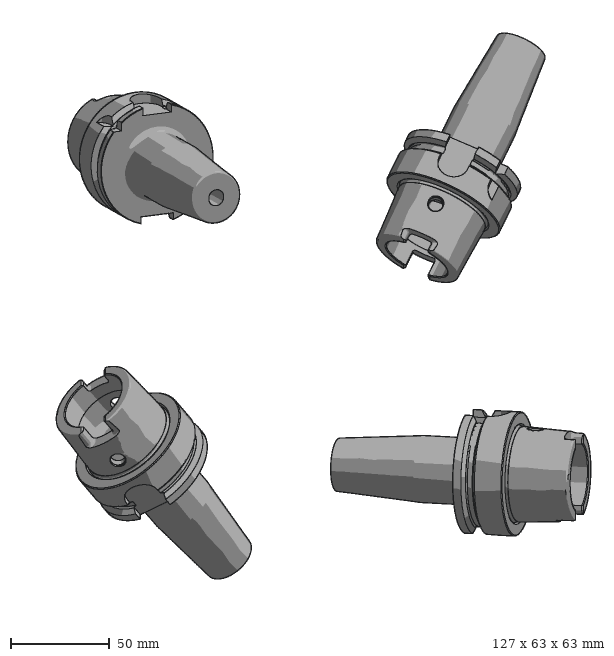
import cadquery as cq
import math

overall_length = 127.0

mouth_fillet = 1.0
taper_ratio = 10.0
taper_gauge_radius = 24.0
taper_gauge_x = 25.7
taper_end_x = 30.0
relief_radius = 23.9
relief_start_x = 30.7
relief_step_length = 0.3
face_recess_fillet = 0.9
face_recess_rim_radius = 25.5

flange_radius = 31.5
flange_start_x = 32.0
flange_end_x = 57.9
flange_front_chamfer = 0.5
flange_back_chamfer = 0.3
groove_radius = 27.5
groove_center_x = 49.9
groove_floor_width = 3.8
groove_fillet = 0.6
groove_flare_length = 1.7
groove_half_angle = 30.0

neck_radius = 17.0
neck_fillet = 3.0
neck_end_x = 82.3
nose_taper_angle = 4.5
nose_fillet = 1.0

bore_radius = 17.0
bore_mouth_chamfer = 0.5
bore_length = 12.7
recess_diameter = 40.0
recess_floor_fillet = 4.0
recess_end_x = 29.7
tube_bore_diameter = 17.0
tube_bore_depth = 12.7
through_hole_diameter = 8.4

cross_hole_diameter = 7.5
cross_hole_rim_diameter = 8.6
cross_hole_rim_depth = 0.8
cross_hole_x = 23.0

drive_slot_width = 12.5
drive_slot_flare_radius = 2.5
drive_slot_flare_top = 20.8
drive_slot_corner_fillet = 1.5
drive_slot_lead_in = 1.1
drive_slot_lead_in_depth = 0.5
shallow_slot_depth = 5.8
deep_slot_depth = 10.0

key_slot_floor_height = 26.5
key_slot_start_x = 36.7
upper_key_slot_width = 15.9
lower_key_slot_width = 18.0

notch_offset = 20.0
notch_end_radius = 7.0
notch_end_center_x = 44.6

clearance = 6.4

arc_middle = math.sqrt(0.5)


def taper_radius(x):
    return taper_gauge_radius + (x - taper_gauge_x) / taper_ratio / 2


def turned_body():
    groove_floor_start = groove_center_x - groove_floor_width / 2
    groove_floor_end = groove_center_x + groove_floor_width / 2
    groove_flare_radius = flange_radius - groove_flare_length / math.tan(math.radians(groove_half_angle))
    groove_fillet_top = groove_radius + groove_fillet
    groove_fillet_reach = groove_fillet * (1 - arc_middle)
    recess_reach = face_recess_fillet * arc_middle
    nose_length = overall_length - neck_end_x
    nose_radius = neck_radius - nose_length * math.tan(math.radians(nose_taper_angle))
    fillet_reach = neck_fillet * (1 - arc_middle)

    profile = (
        cq.Workplane("XY")
        .moveTo(0, 0)
        .lineTo(0, taper_radius(0))
        .lineTo(taper_end_x, taper_radius(taper_end_x))
        .lineTo(relief_start_x, taper_radius(taper_end_x))
        .lineTo(relief_start_x + relief_step_length, relief_radius)
        .lineTo(flange_start_x, relief_radius)
        .threePointArc(
            (flange_start_x + recess_reach, relief_radius + face_recess_fillet - recess_reach),
            (flange_start_x + face_recess_fillet, relief_radius + face_recess_fillet),
        )
        .lineTo(flange_start_x, face_recess_rim_radius)
        .lineTo(flange_start_x, flange_radius - flange_front_chamfer)
        .lineTo(flange_start_x + flange_front_chamfer, flange_radius)
        .lineTo(groove_floor_start - groove_flare_length, flange_radius)
        .lineTo(groove_floor_start, groove_flare_radius)
        .lineTo(groove_floor_start, groove_fillet_top)
        .threePointArc(
            (groove_floor_start + groove_fillet_reach, groove_radius + groove_fillet_reach),
            (groove_floor_start + groove_fillet, groove_radius),
        )
        .lineTo(groove_floor_end - groove_fillet, groove_radius)
        .threePointArc(
            (groove_floor_end - groove_fillet_reach, groove_radius + groove_fillet_reach),
            (groove_floor_end, groove_fillet_top),
        )
        .lineTo(groove_floor_end, groove_flare_radius)
        .lineTo(groove_floor_end + groove_flare_length, flange_radius)
        .lineTo(flange_end_x - flange_back_chamfer, flange_radius)
        .lineTo(flange_end_x, flange_radius - flange_back_chamfer)
        .lineTo(flange_end_x, neck_radius + neck_fillet)
        .threePointArc(
            (flange_end_x + fillet_reach, neck_radius + fillet_reach),
            (flange_end_x + neck_fillet, neck_radius),
        )
        .lineTo(neck_end_x, neck_radius)
        .lineTo(overall_length, nose_radius)
        .lineTo(overall_length, 0)
        .close()
    )
    body = profile.revolve(360, (0, 0, 0), (1, 0, 0))
    body = body.faces("<X").edges().fillet(mouth_fillet)
    return body.faces(">X").edges().fillet(nose_fillet)


def bore():
    tube_bore_end = recess_end_x + tube_bore_depth
    tube_bore_radius = tube_bore_diameter / 2
    through_hole_radius = through_hole_diameter / 2
    recess_radius = recess_diameter / 2
    fillet_center_x = recess_end_x - recess_floor_fillet
    fillet_center_radius = recess_radius - recess_floor_fillet
    fillet_reach = recess_floor_fillet * arc_middle
    return (
        cq.Workplane("XY")
        .moveTo(0, 0)
        .lineTo(0, bore_radius + bore_mouth_chamfer)
        .lineTo(bore_mouth_chamfer, bore_radius)
        .lineTo(bore_length, bore_radius)
        .lineTo(bore_length, recess_radius)
        .lineTo(fillet_center_x, recess_radius)
        .threePointArc(
            (fillet_center_x + fillet_reach, fillet_center_radius + fillet_reach),
            (recess_end_x, fillet_center_radius),
        )
        .lineTo(recess_end_x, tube_bore_radius)
        .lineTo(tube_bore_end, tube_bore_radius)
        .lineTo(tube_bore_end, through_hole_radius)
        .lineTo(overall_length, through_hole_radius)
        .lineTo(overall_length, 0)
        .close()
        .revolve(360, (0, 0, 0), (1, 0, 0))
    )


def cross_hole():
    rim_height = taper_radius(cross_hole_x)
    hole = (
        cq.Workplane("XY", origin=(cross_hole_x, 0, -flange_radius))
        .circle(cross_hole_diameter / 2)
        .extrude(2 * flange_radius)
    )
    for side in (1, -1):
        rim = cq.Solid.makeCone(
            cross_hole_diameter / 2,
            cross_hole_rim_diameter / 2,
            cross_hole_rim_depth,
            cq.Vector(cross_hole_x, 0, side * (rim_height - cross_hole_rim_depth)),
            cq.Vector(0, 0, side),
        )
        hole = hole.union(cq.Workplane(rim))
    return hole


def drive_slot(depth):
    """Slot along X on the +Z side whose walls round outwards near the taper surface."""
    half_width = drive_slot_width / 2
    flare_start = drive_slot_flare_top - drive_slot_flare_radius
    flare_side = half_width + drive_slot_flare_radius
    flare_reach = drive_slot_flare_radius * (1 - arc_middle)
    outer_side = flare_side + clearance
    outer_top = drive_slot_flare_top + clearance
    slot = (
        cq.Workplane("YZ")
        .moveTo(-half_width, 0)
        .lineTo(-half_width, flare_start)
        .threePointArc(
            (-half_width - flare_reach, drive_slot_flare_top - flare_reach),
            (-flare_side, drive_slot_flare_top),
        )
        .lineTo(-outer_side, drive_slot_flare_top)
        .lineTo(-outer_side, outer_top)
        .lineTo(outer_side, outer_top)
        .lineTo(outer_side, drive_slot_flare_top)
        .lineTo(flare_side, drive_slot_flare_top)
        .threePointArc(
            (half_width + flare_reach, drive_slot_flare_top - flare_reach),
            (half_width, flare_start),
        )
        .lineTo(half_width, 0)
        .close()
        .extrude(depth)
        .faces(">X")
        .edges("not(<Z or >Z or <Y or >Y)")
        .fillet(drive_slot_corner_fillet)
    )
    lead_in = (
        cq.Workplane("XY")
        .moveTo(0, -half_width - drive_slot_lead_in)
        .lineTo(drive_slot_lead_in_depth, -half_width)
        .lineTo(drive_slot_lead_in_depth, half_width)
        .lineTo(0, half_width + drive_slot_lead_in)
        .close()
        .extrude(drive_slot_flare_top)
    )
    return slot.union(lead_in)


def key_slot(width):
    """Flat-bottomed slot on the +Z side of the flange."""
    end_center_x = key_slot_start_x + width / 2
    length = flange_end_x - end_center_x
    floor_plane = cq.Workplane("XY", origin=(end_center_x, 0, key_slot_floor_height))
    round_end = floor_plane.circle(width / 2).extrude(clearance)
    channel = floor_plane.center(length / 2, 0).rect(length, width).extrude(clearance)
    return round_end.union(channel)


def orientation_notch():
    height = flange_radius - notch_offset
    outer_side = -notch_offset - 2 * notch_end_radius
    return (
        cq.Workplane("XY", origin=(0, 0, notch_offset))
        .moveTo(flange_end_x, -notch_offset)
        .lineTo(notch_end_center_x, -notch_offset)
        .radiusArc((notch_end_center_x, outer_side), -notch_end_radius)
        .lineTo(flange_end_x, outer_side)
        .close()
        .extrude(height)
    )


def on_underside(shape):
    return shape.rotate((0, 0, 0), (1, 0, 0), 180)


result = (
    turned_body()
    .cut(bore())
    .cut(cross_hole())
    .cut(drive_slot(shallow_slot_depth))
    .cut(on_underside(drive_slot(deep_slot_depth)))
    .cut(key_slot(upper_key_slot_width))
    .cut(on_underside(key_slot(lower_key_slot_width)))
    .cut(orientation_notch())
)